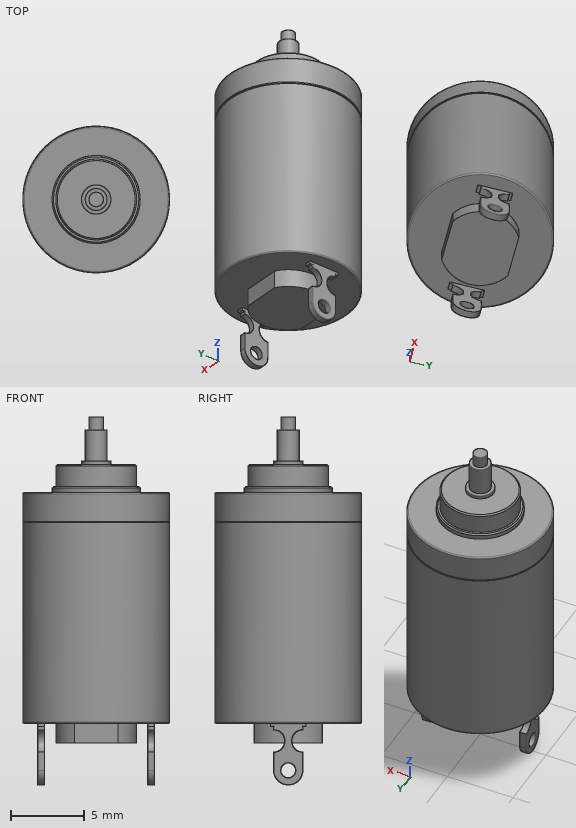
import cadquery as cq
import math


can_radius = 5.0
can_length = 15.7
can_edge_radius = 0.1
seam_height = 13.65
seam_width = 0.1
seam_depth = 0.05

flange_radius = 3.0
flange_height = 0.4
boss_radius = 2.75
boss_height = 1.5
boss_chamfer = 0.1

rear_boss_length = 1.35
rear_boss_flat_width = 4.65

collar_radius = 1.0
collar_height = 0.25
shaft_radius = 0.75
shaft_length = 2.12
tip_radius = 0.5
tip_length = 0.88

terminal_x = 3.74
terminal_thickness = 0.48
terminal_length = 4.2
root_half_width = 1.22
root_height = 0.22
tag_half_width = 1.0
neck_half_width = 0.25
neck_radius = 0.75
neck_z = -1.2
eye_radius = 0.5

edge_break = 0.03

flange_top = can_length + flange_height
boss_top = flange_top + boss_height
collar_top = boss_top + collar_height
journal_top = collar_top + shaft_length


def disc(radius, bottom, height):
    return cq.Workplane("XY").workplane(offset=bottom).circle(radius).extrude(height)


def make_seam_groove():
    """Ring with a triangular section that undercuts the front part of the can."""
    return (
        cq.Workplane("XZ")
        .moveTo(can_radius, seam_height)
        .lineTo(can_radius - seam_depth, seam_height)
        .lineTo(can_radius, seam_height + seam_width)
        .close()
        .revolve(360, (0, 0, 0), (0, 1, 0))
    )


def make_rear_boss():
    flats = cq.Workplane("XY").box(
        2 * boss_radius, rear_boss_flat_width, rear_boss_length, centered=(True, True, False)
    ).translate((0, 0, -rear_boss_length))
    return disc(boss_radius, -rear_boss_length, rear_boss_length).intersect(flats)


def make_housing():
    can = disc(can_radius, 0, can_length).edges().fillet(can_edge_radius).cut(make_seam_groove())
    flange = disc(flange_radius, can_length, flange_height).edges(">Z").chamfer(boss_chamfer)
    boss = disc(boss_radius, can_length, flange_height + boss_height).edges(">Z").chamfer(boss_chamfer)
    return can.union(flange).union(boss).union(make_rear_boss())


def shaft_step(radius, bottom, height):
    return disc(radius, bottom, height).edges(">Z").fillet(edge_break)


def make_shaft():
    """Shaft with a collar that rests on the front boss."""
    collar = shaft_step(collar_radius, boss_top, collar_height)
    journal = shaft_step(shaft_radius, collar_top, shaft_length)
    tip = shaft_step(tip_radius, journal_top, tip_length)
    return collar.union(journal).union(tip)


def make_terminal(side):
    """Flat solder tag in a YZ plane under the can, on the -X (-1) or +X (+1) side."""
    neck_center_y = neck_half_width + neck_radius
    arc_rise = math.sqrt(neck_radius**2 - (neck_center_y - tag_half_width) ** 2)
    arc_top = neck_z + arc_rise
    arc_bottom = neck_z - arc_rise
    eye_z = tag_half_width - terminal_length
    outline = (
        cq.Workplane("YZ")
        .moveTo(-root_half_width, 0)
        .lineTo(root_half_width, 0)
        .lineTo(root_half_width, -root_height)
        .lineTo(tag_half_width, -root_height)
        .lineTo(tag_half_width, arc_top)
        .threePointArc((neck_half_width, neck_z), (tag_half_width, arc_bottom))
        .lineTo(tag_half_width, eye_z)
        .threePointArc((0, -terminal_length), (-tag_half_width, eye_z))
        .lineTo(-tag_half_width, arc_bottom)
        .threePointArc((-neck_half_width, neck_z), (-tag_half_width, arc_top))
        .lineTo(-tag_half_width, -root_height)
        .lineTo(-root_half_width, -root_height)
        .close()
    )
    half_thickness = terminal_thickness / 2
    tag = outline.extrude(half_thickness, both=True)
    eye = cq.Workplane("YZ").center(0, eye_z).circle(eye_radius).extrude(half_thickness, both=True)
    outer_face = ">X" if side > 0 else "<X"
    tag = tag.cut(eye).faces(outer_face).edges().fillet(edge_break)
    return tag.translate((side * terminal_x, 0, 0))


housing = make_housing()
shaft = make_shaft()
terminals = [make_terminal(side) for side in (-1, 1)]

result = cq.Compound.makeCompound(
    [body.solids().val() for body in (housing, shaft, *terminals)]
)